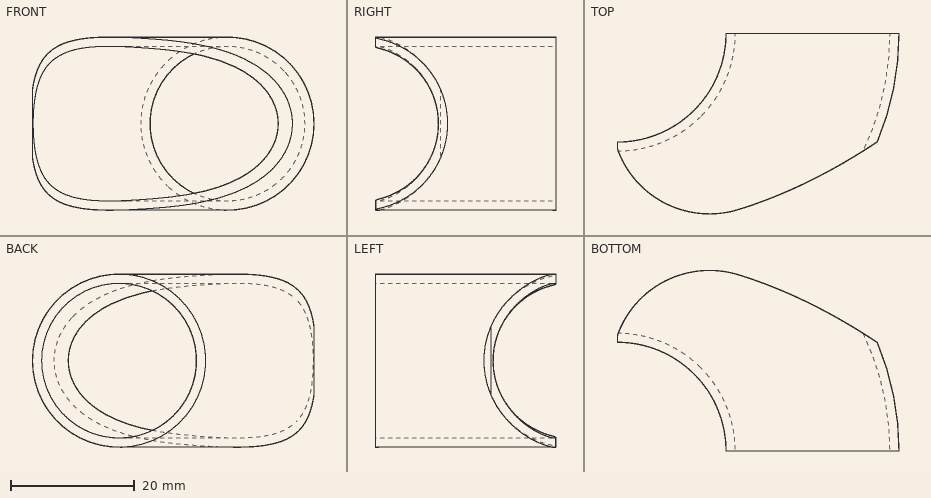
import cadquery as cq
import math

outer_reach = 45.5
tube_diameter = 28.0
wall = 1.5
tube_radius = tube_diameter / 2
bend_radius = outer_reach - tube_radius

seam_x = 19.55
round_radius = 15.8


def saddle_y(x):
    """Parabola along which the elbow meets an equal tube running parallel to X."""
    return x**2 / (4 * bend_radius) - bend_radius


def saddle_slope(x):
    return x / (2 * bend_radius)


def make_elbow():
    """Quarter bend about the Z axis, with its straight end face on the plane Y = 0."""
    return (
        cq.Workplane("XZ")
        .center(bend_radius, 0)
        .circle(tube_radius)
        .circle(tube_radius - wall)
        .revolve(90, (-bend_radius, 0), (-bend_radius, -1))
    )


def make_kept_region():
    """Prism along Z that bounds the elbow by the saddle cut."""
    seam = (seam_x, saddle_y(seam_x))
    far_end = (outer_reach, saddle_y(outer_reach))

    control_x = (seam_x + outer_reach) / 2
    control = (control_x, seam[1] + saddle_slope(seam_x) * (control_x - seam_x))

    seam_angle = math.atan(saddle_slope(seam_x))
    centre_x = seam_x - round_radius * math.sin(seam_angle)
    centre_y = seam[1] + round_radius * math.cos(seam_angle)
    arc_lowest = (centre_x, centre_y - round_radius)
    arc_start = (0, centre_y - math.sqrt(round_radius**2 - centre_x**2))

    return (
        cq.Workplane("XY", origin=(0, 0, -tube_radius))
        .moveTo(0, 0)
        .lineTo(*arc_start)
        .threePointArc(arc_lowest, seam)
        .bezier([seam, control, far_end])
        .lineTo(outer_reach, 0)
        .close()
        .extrude(tube_diameter)
    )


result = make_elbow().intersect(make_kept_region())